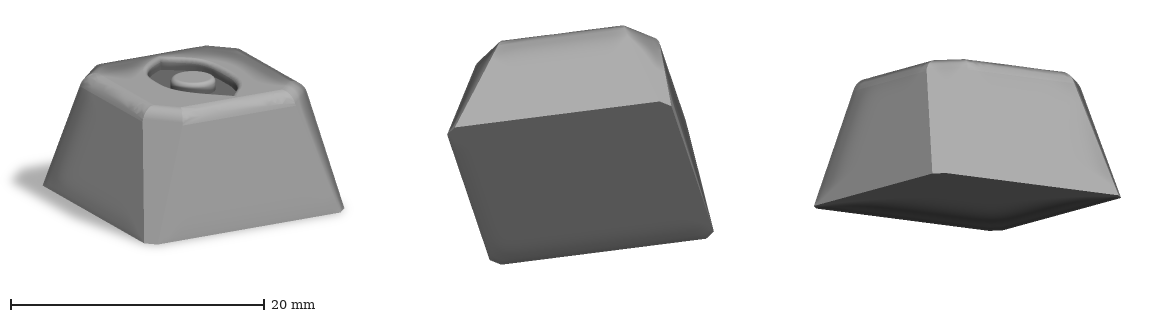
import cadquery as cq

base_width = 18.1
top_width = 14.5
height = 10.0
base_corner = 0.78
top_corner = 2.5
rim_radius = 1.3

eye_depth = 1.0
eye_floor_z = height - eye_depth
edge_radius = 0.37
pupil_diameter = 3.56
pupil_y = -0.04

frame_half_x = 6.1
frame_half_y = 4.0

eye_left = (-5.42, 0.05)
eye_right = (5.34, 0.54)
upper_lid = [
    (-frame_half_x, -0.77), eye_left,
    (-3.53, 2.30), (-0.53, 2.91), (1.49, 2.80), (3.62, 1.95),
    eye_right, (frame_half_x, 0.09),
]
lower_lid = [
    (-frame_half_x, 1.40), eye_left,
    (-4.41, -1.39), (-2.47, -2.69), (-0.53, -2.95), (1.40, -2.78), (3.52, -1.45),
    eye_right, (frame_half_x, 1.28),
]


def octagon(width, corner):
    """Corner points of a square of the given width with its corners cut at 45 degrees."""
    half = width / 2
    flat = half - corner
    return [
        (flat, -half), (half, -flat), (half, flat), (flat, half),
        (-flat, half), (-half, flat), (-half, -flat), (-flat, -half),
    ]


def make_body():
    """Solid frustum between the base and top octagons, rounded around the top face."""
    frustum = (
        cq.Workplane("XY")
        .polyline(octagon(base_width, base_corner)).close()
        .workplane(offset=height)
        .polyline(octagon(top_width, top_corner)).close()
        .loft(ruled=True)
    )
    return frustum.faces(">Z").edges().fillet(rim_radius)


def make_lid(points, outer_y):
    """Block between an eyelid curve and the frame edge at outer_y, rounded along the curve."""
    block = (
        cq.Workplane("XY", origin=(0, 0, eye_floor_z))
        .moveTo(*points[0])
        .spline(points[1:], includeCurrent=True)
        .lineTo(frame_half_x, outer_y)
        .lineTo(-frame_half_x, outer_y)
        .close()
        .extrude(eye_depth)
    )
    return block.faces(">Z").edges("not(|X or |Y)").fillet(edge_radius)


def make_eye():
    """Recess volume: what the two eyelids leave open inside the frame."""
    return (
        cq.Workplane("XY", origin=(0, 0, eye_floor_z))
        .rect(2 * frame_half_x, 2 * frame_half_y)
        .extrude(eye_depth)
        .cut(make_lid(upper_lid, frame_half_y))
        .cut(make_lid(lower_lid, -frame_half_y))
    )


def make_pupil():
    """Round pad standing on the recess floor."""
    return (
        cq.Workplane("XY", origin=(0, pupil_y, eye_floor_z))
        .circle(pupil_diameter / 2)
        .extrude(eye_depth)
        .faces(">Z").edges().fillet(edge_radius)
    )


result = make_body().cut(make_eye()).union(make_pupil())